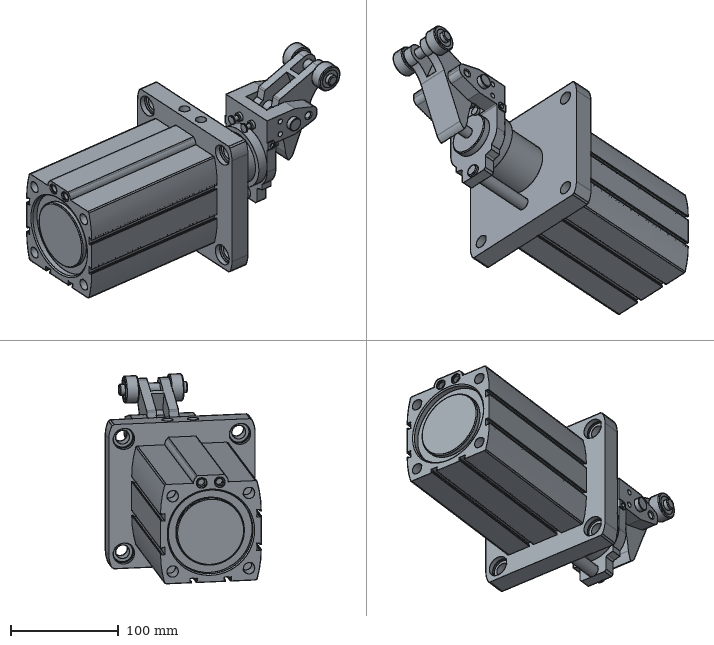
import cadquery as cq
import math

TOTAL_HEIGHT = 145.2
TOTAL_LENGTH = 315.7

PLATE_REAR = 151.0
PLATE_FRONT = 170.2
COLLAR_REAR = 215.3
BRACKET_REAR = 225.0
PAD_FRONT = 235.8
DISC_FRONT = 243.0
BLOCK_STRAIGHT_END = 259.0

BARREL_WIDTH = 95.0
BARREL_HALF = BARREL_WIDTH / 2
BARREL_CORNER = (43.5, 46.7)
BARREL_TOP_HALF = 42.0
RIB_HALF = 16.5
RIB_SHOULDER = (14.0, 53.5)
RIB_TOP_HALF = 13.0
RIB_TOP = 54.5
SLOT_OFFSET = 16.0
SLOT_MOUTH = 4.7
SLOT_WIDTH = 7.0
SLOT_LIP = 1.3
SLOT_DEPTH = 4.0
BARREL_FLAT_HALF = SLOT_OFFSET + SLOT_MOUTH / 2

RECESS_D = 80.0
RECESS_CHAMFER = 1.3
RECESS_DEPTH = 6.3
END_BOSS_D = 64.0
END_BOSS_FACE = 1.5
END_BOSS_CHAMFER = 1.0
TIE_HOLE_D = 10.7
TIE_HOLE_OFFSET = 36.0
TIE_HOLE_DEPTH = 15.8
REAR_PORT_X = 8.5
REAR_PORT_Z = 47.5
REAR_PORT_D = 9.8
REAR_PORT_DEPTH = 1.5
REAR_PORT_BORE_D = 7.0
REAR_PORT_BORE_DEPTH = 6.3

PLATE_WIDTH = 138.0
PLATE_HALF = PLATE_WIDTH / 2
PLATE_FLAT_HALF = 55.5
PLATE_CORNER = (66.0, 68.0)
PLATE_TOP_HALF = 64.0
BOLT_SPACING = 109.5
BOLT_OFFSET = BOLT_SPACING / 2
BOLT_D = 13.0
BOLT_MOUTH_D = 20.0
BOLT_MOUTH_DEPTH = 5.0
BOLT_HEAD_D = 19.0
BOLT_HEAD_DEPTH = 7.0
TOP_PORT_D = 10.0
TOP_PORT_X = 12.0
TOP_PORT_DEPTH = 9.5
DRILL_POINT_ANGLE = math.radians(59)

ROD_D = 50.2
COLLAR_D = 60.0
DISC_D = 41.0
DISC_CHAMFER = 1.0
PLUNGER_D = 10.5
PLUNGER_REACH = 262.0
GUIDE_D = 12.0
GUIDE_Z = -42.0
GUIDE_REAR = 158.0
GUIDE_FRONT = 238.7
GUIDE_CHAMFER = 1.0

BRACKET_HALF = 30.0
BLOCK_TOP = 50.2
BLOCK_BOTTOM = 22.0
BLOCK_FILLET = 1.0
PIVOT_Y = 255.5
PIVOT_Z = (BLOCK_TOP + BLOCK_BOTTOM) / 2
EYE_Y = 275.0
NOSE_FRONT = 285.0
NOSE_HEIGHT = 12.3
NOSE_FILLET = 6.3
EYE_HOLE_D = 6.5
EYE_COUNTERSINK_D = 8.5
FORK_WIDTH = 30.0
FORK_HALF = FORK_WIDTH / 2
FORK_FLOOR = 237.0
PIVOT_D = 13.0
PIVOT_HALF = 35.0
PIVOT_CHAMFER = 0.47
SET_SCREW_D = 5.0
SET_SCREW_Y = 241.2
SET_SCREW_SPREAD = 14.0
SET_SCREW_DEPTH = 4.7
PAD_ARC_START = -6.3
PAD_SHOULDER_HALF = 23.0
PAD_SHOULDER_TOP = -23.0
PAD_SHOULDER_BOTTOM = -29.0
PAD_STEP = (17.0, -30.5)
PAD_TAIL_HALF = 15.0
PAD_TAIL_TOP = -32.5
PAD_TAIL_SIDE_END = -46.0
PAD_TAIL_CHAMFER = 2.0
EAR_WIDTH = 62.2
EAR_HALF = EAR_WIDTH / 2
EAR_Z = 22.0
EAR_HEIGHT = 8.2
EAR_FRONT = 234.0
EAR_CHAMFER = 2.0
EAR_HOLE_D = 4.0
EAR_HOLE_DEPTH = 2.5
EAR_HOLE_Y = 230.0
PEG_D = 8.0
PEG_X = -10.5
PEG_Z = 20.0
PEG_FRONT = 245.3

ADJUSTER_SPACING = 18.0
ADJUSTER_X = ADJUSTER_SPACING / 2
ADJUSTER_HEAD_D = 8.5
ADJUSTER_HEAD_LENGTH = 3.8
ADJUSTER_HEAD_CHAMFER = 1.0
ADJUSTER_SHANK_D = 5.0
ADJUSTER_END = 214.5
ADJUSTER_CAP_LENGTH = 1.3
ADJUSTER_TIP_Y = 241.0

ROLLER_R = 12.5
AXLE_Y = TOTAL_LENGTH - ROLLER_R
AXLE_Z = TOTAL_HEIGHT - PLATE_HALF - ROLLER_R
LEVER_END_D = 20.0
LEVER_END_R = LEVER_END_D / 2
LEVER_SLOT_HALF = 6.0
LEVER_HEEL = (252.2, 55.0)
LEVER_HEEL_FILLET = 2.0
LEVER_HEEL_FOOT = (250.0, 44.8)
LEVER_HUB = (241.8, 34.0)
LEVER_NECK = (253.2, 22.0)
LEVER_SHIN = (256.7, 11.0)
LEVER_SOLE = (259.8, -6.3)
LEVER_TOE_REAR = (261.5, -11.7)
LEVER_TOE = (263.3, -15.8)
LEVER_TOE_FRONT = (267.5, -13.0)
LEVER_FRONT_BOTTOM = (269.3, -10.0)
LEVER_FRONT_TOP = (290.5, 39.5)
LEVER_THROAT = (297.5, 49.2)
REAR_POCKET_R = 23.0
WEB_FROM_PIVOT = 31.5
WEB_THICKNESS = 4.7

AXLE_D = 10.5
AXLE_HALF = 32.0
AXLE_CHAMFER = 1.0
ROLLER_WIDTH = 12.3
ROLLER_CHAMFER = 1.0
ROLLER_RECESS_D = 18.0
ROLLER_RECESS_DEPTH = 0.3


def xz_plane(y):
    """Workplane square to Y, with local x along X and local y along Z; it extrudes toward -Y."""
    return cq.Workplane("XZ", origin=(0, y, 0))


def rod_y(diameter, y_start, y_end, x=0, z=0):
    """Cylinder along Y."""
    return xz_plane(y_end).center(x, z).circle(diameter / 2).extrude(y_end - y_start)


def rod_x(diameter, x_start, x_end, y, z):
    """Cylinder along X."""
    section = cq.Workplane("YZ", origin=(x_start, 0, 0)).center(y, z)
    return section.circle(diameter / 2).extrude(x_end - x_start)


def box(x_range, y_range, z_range):
    """Box between two limits on each axis."""
    size = [high - low for low, high in (x_range, y_range, z_range)]
    corner = (x_range[0], y_range[0], z_range[0])
    return cq.Workplane("XY").box(*size, centered=False).translate(corner)


def drill(diameter, depth, start, direction):
    """Blind hole with a conical drill point, to be cut from a body."""
    radius = diameter / 2
    point = cq.Vector(*start)
    axis = cq.Vector(*direction)
    cone_height = radius / math.tan(DRILL_POINT_ANGLE)
    bore = cq.Solid.makeCylinder(radius, depth, point, axis)
    cone = cq.Solid.makeCone(radius, 0, cone_height, point + axis * depth, axis)
    return cq.Workplane("XY").newObject([bore.fuse(cone)])


def rounded_square(y_end, length, half, flat_half, corner, top_half):
    """Square bar along Y whose four corners curve in from the sides to a narrower top."""
    quarter = (
        xz_plane(y_end)
        .lineTo(half, 0)
        .lineTo(half, flat_half)
        .tangentArcPoint(corner, relative=False)
        .lineTo(top_half, half)
        .lineTo(0, half)
        .close()
        .extrude(length)
    )
    right_half = quarter.union(quarter.mirror("XY"))
    return right_half.union(right_half.mirror("YZ"))


def switch_slot():
    """T-slot along the barrel, to be cut into a downward face at Z = 0."""
    mouth = box((-SLOT_MOUTH / 2, SLOT_MOUTH / 2), (0, PLATE_REAR), (0, SLOT_DEPTH))
    chamber = box((-SLOT_WIDTH / 2, SLOT_WIDTH / 2), (0, PLATE_REAR), (SLOT_LIP, SLOT_DEPTH))
    return mouth.union(chamber)


def make_barrel():
    barrel = rounded_square(
        PLATE_REAR, PLATE_REAR, BARREL_HALF, BARREL_FLAT_HALF, BARREL_CORNER, BARREL_TOP_HALF
    )
    rib = (
        xz_plane(PLATE_REAR)
        .lineTo(RIB_HALF, 0)
        .lineTo(RIB_HALF, BARREL_HALF)
        .tangentArcPoint(RIB_SHOULDER, relative=False)
        .lineTo(RIB_TOP_HALF, RIB_TOP)
        .lineTo(0, RIB_TOP)
        .close()
        .extrude(PLATE_REAR)
    )
    barrel = barrel.union(rib).union(rib.mirror("YZ"))
    for angle in (-90, 0, 90):
        for offset in (-SLOT_OFFSET, SLOT_OFFSET):
            slot = switch_slot().translate((offset, 0, -BARREL_HALF))
            barrel = barrel.cut(slot.rotate((0, 0, 0), (0, 1, 0), angle))
    return barrel


def cut_rear_end(barrel):
    """Annular recess around the end boss, four tie holes and two ports."""
    recess = rod_y(RECESS_D, 0, RECESS_DEPTH)
    boss = rod_y(END_BOSS_D, END_BOSS_FACE, RECESS_DEPTH).faces("<Y").edges().chamfer(END_BOSS_CHAMFER)
    barrel = barrel.cut(recess)
    recess_rim = cq.selectors.NearestToPointSelector((0, 0, 0))
    barrel = barrel.edges(recess_rim).chamfer(RECESS_CHAMFER).union(boss)
    for x in (-TIE_HOLE_OFFSET, TIE_HOLE_OFFSET):
        for z in (-TIE_HOLE_OFFSET, TIE_HOLE_OFFSET):
            barrel = barrel.cut(rod_y(TIE_HOLE_D, 0, TIE_HOLE_DEPTH, x, z))
    for x in (-REAR_PORT_X, REAR_PORT_X):
        barrel = barrel.cut(rod_y(REAR_PORT_D, 0, REAR_PORT_DEPTH, x, REAR_PORT_Z))
        barrel = barrel.cut(rod_y(REAR_PORT_BORE_D, 0, REAR_PORT_BORE_DEPTH, x, REAR_PORT_Z))
    return barrel


def make_plate():
    plate = rounded_square(
        PLATE_FRONT, PLATE_FRONT - PLATE_REAR, PLATE_HALF, PLATE_FLAT_HALF, PLATE_CORNER, PLATE_TOP_HALF
    )
    for x in (-BOLT_OFFSET, BOLT_OFFSET):
        for z in (-BOLT_OFFSET, BOLT_OFFSET):
            plate = plate.cut(rod_y(BOLT_D, PLATE_REAR, PLATE_FRONT, x, z))
            plate = plate.cut(rod_y(BOLT_MOUTH_D, PLATE_REAR, PLATE_REAR + BOLT_MOUTH_DEPTH, x, z))
            plate = plate.cut(rod_y(BOLT_HEAD_D, PLATE_REAR, PLATE_REAR + BOLT_HEAD_DEPTH, x, z))
    middle = (PLATE_REAR + PLATE_FRONT) / 2
    for x in (-TOP_PORT_X, TOP_PORT_X):
        plate = plate.cut(drill(TOP_PORT_D, TOP_PORT_DEPTH, (x, middle, PLATE_HALF), (0, 0, -1)))
    plate = plate.cut(rod_y(ROD_D, PLATE_REAR, PLATE_FRONT))
    return plate.cut(rod_y(GUIDE_D, GUIDE_REAR, PLATE_FRONT, 0, GUIDE_Z))


def make_housing():
    return cut_rear_end(make_barrel()).union(make_plate())


def make_lever():
    heel_y, heel_z = LEVER_HEEL
    to_axle = math.atan2(AXLE_Z - heel_z, AXLE_Y - heel_y)
    reach = math.hypot(AXLE_Y - heel_y, AXLE_Z - heel_z)
    normal = to_axle + math.asin(LEVER_END_R / reach) + math.pi / 2
    tangent = (AXLE_Y + LEVER_END_R * math.cos(normal), AXLE_Z + LEVER_END_R * math.sin(normal))
    lever = (
        cq.Workplane("YZ", origin=(-FORK_HALF, 0, 0))
        .moveTo(*LEVER_HEEL)
        .lineTo(*tangent)
        .threePointArc((AXLE_Y + LEVER_END_R, AXLE_Z), (AXLE_Y, AXLE_Z - LEVER_END_R))
        .threePointArc(LEVER_THROAT, LEVER_FRONT_TOP)
        .lineTo(*LEVER_FRONT_BOTTOM)
        .threePointArc(LEVER_TOE_FRONT, LEVER_TOE)
        .threePointArc(LEVER_TOE_REAR, LEVER_SOLE)
        .threePointArc(LEVER_SHIN, LEVER_NECK)
        .threePointArc(LEVER_HUB, LEVER_HEEL_FOOT)
        .close()
        .extrude(FORK_WIDTH)
    )
    lever = lever.edges(cq.selectors.NearestToPointSelector((0, *LEVER_HEEL)))
    lever = lever.fillet(LEVER_HEEL_FILLET)
    slot = (-LEVER_SLOT_HALF, LEVER_SLOT_HALF)
    slope = normal - math.pi / 2
    web_front = WEB_FROM_PIVOT + WEB_THICKNESS
    rear_slot = box(slot, (-WEB_FROM_PIVOT, WEB_FROM_PIVOT), (0, WEB_FROM_PIVOT))
    front_slot = box(slot, (web_front, 2 * web_front), (-web_front, web_front))
    slots = rear_slot.union(front_slot).rotate((0, 0, 0), (1, 0, 0), math.degrees(slope))
    slots = slots.translate((0, PIVOT_Y, PIVOT_Z))
    rear_floor = rod_x(2 * REAR_POCKET_R, *slot, PIVOT_Y, PIVOT_Z)
    lever = lever.cut(slots).cut(rear_floor)
    lever = lever.cut(rod_x(AXLE_D, -FORK_HALF, FORK_HALF, AXLE_Y, AXLE_Z))
    return lever.cut(rod_x(PIVOT_D, -FORK_HALF, FORK_HALF, PIVOT_Y, PIVOT_Z))


def make_pad():
    """Upright pad of the bracket, clamped on the rod and reaching down to the guide rod."""
    half = (
        xz_plane(PAD_FRONT)
        .moveTo(0, BLOCK_TOP)
        .lineTo(BRACKET_HALF, BLOCK_TOP)
        .lineTo(BRACKET_HALF, PAD_ARC_START)
        .tangentArcPoint((PAD_SHOULDER_HALF, PAD_SHOULDER_TOP), relative=False)
        .lineTo(PAD_SHOULDER_HALF, PAD_SHOULDER_BOTTOM)
        .lineTo(*PAD_STEP)
        .tangentArcPoint((PAD_TAIL_HALF, PAD_TAIL_TOP), relative=False)
        .lineTo(PAD_TAIL_HALF, PAD_TAIL_SIDE_END)
        .lineTo(PAD_TAIL_HALF - PAD_TAIL_CHAMFER, PAD_TAIL_SIDE_END - PAD_TAIL_CHAMFER)
        .lineTo(0, PAD_TAIL_SIDE_END - PAD_TAIL_CHAMFER)
        .close()
        .extrude(PAD_FRONT - BRACKET_REAR)
    )
    return half.union(half.mirror("YZ"))


def make_fork():
    """Fork block that tapers forward to a rounded nose, slotted for the lever."""
    fork = (
        cq.Workplane("YZ", origin=(-BRACKET_HALF, 0, 0))
        .moveTo(BRACKET_REAR, BLOCK_BOTTOM)
        .lineTo(BLOCK_STRAIGHT_END, BLOCK_BOTTOM)
        .lineTo(NOSE_FRONT, PIVOT_Z - NOSE_HEIGHT / 2)
        .lineTo(NOSE_FRONT, PIVOT_Z + NOSE_HEIGHT / 2)
        .lineTo(BLOCK_STRAIGHT_END, BLOCK_TOP)
        .lineTo(BRACKET_REAR, BLOCK_TOP)
        .close()
        .extrude(2 * BRACKET_HALF)
    )
    fork = fork.edges("|X and >Y").fillet(NOSE_FILLET)
    fork = fork.cut(box((-FORK_HALF, FORK_HALF), (FORK_FLOOR, NOSE_FRONT), (BLOCK_BOTTOM, BLOCK_TOP)))
    fork = fork.cut(rod_x(EYE_HOLE_D, -BRACKET_HALF, BRACKET_HALF, EYE_Y, PIVOT_Z))
    countersink = (EYE_COUNTERSINK_D - EYE_HOLE_D) / 2
    for x in (-BRACKET_HALF, BRACKET_HALF):
        rim = cq.selectors.NearestToPointSelector((x, EYE_Y, PIVOT_Z))
        fork = fork.edges(rim).chamfer(countersink)
    return fork


def make_bracket():
    bracket = make_pad().union(make_fork())
    inner_corner = cq.selectors.NearestToPointSelector((0, PAD_FRONT, BLOCK_BOTTOM))
    bracket = bracket.edges(inner_corner).fillet(BLOCK_FILLET)
    ears = box(
        (-EAR_HALF, EAR_HALF),
        (BRACKET_REAR, EAR_FRONT),
        (EAR_Z - EAR_HEIGHT / 2, EAR_Z + EAR_HEIGHT / 2),
    )
    bracket = bracket.union(ears.edges("|X and >Y").chamfer(EAR_CHAMFER))
    for side in (-1, 1):
        inward = (-side, 0, 0)
        ear_face = (side * EAR_HALF, EAR_HOLE_Y, EAR_Z)
        bracket = bracket.cut(drill(EAR_HOLE_D, EAR_HOLE_DEPTH, ear_face, inward))
        for rise in (-SET_SCREW_SPREAD / 2, SET_SCREW_SPREAD / 2):
            cheek_face = (side * BRACKET_HALF, SET_SCREW_Y, PIVOT_Z + rise)
            bracket = bracket.cut(drill(SET_SCREW_D, SET_SCREW_DEPTH, cheek_face, inward))
    return bracket


def make_rods(lever):
    """Piston rod with collar, front disc, peg and plunger; the plunger bears on the lever."""
    rod = rod_y(ROD_D, PLATE_REAR, BRACKET_REAR)
    collar = rod_y(COLLAR_D, COLLAR_REAR, BRACKET_REAR)
    disc = rod_y(DISC_D, BRACKET_REAR, DISC_FRONT).faces(">Y").edges().chamfer(DISC_CHAMFER)
    peg = rod_y(PEG_D, DISC_FRONT - DISC_CHAMFER, PEG_FRONT, PEG_X, PEG_Z)
    plunger = rod_y(PLUNGER_D, DISC_FRONT, PLUNGER_REACH).cut(lever)
    return rod.union(collar).union(disc).union(peg).union(plunger)


def make_guide_rod():
    guide = rod_y(GUIDE_D, GUIDE_REAR, GUIDE_FRONT, 0, GUIDE_Z)
    return guide.faces(">Y").edges().chamfer(GUIDE_CHAMFER)


def make_pivot_pin():
    pin = rod_x(PIVOT_D, -PIVOT_HALF, PIVOT_HALF, PIVOT_Y, PIVOT_Z)
    return pin.faces("<X or >X").edges().chamfer(PIVOT_CHAMFER)


def make_adjuster(x):
    """Adjusting screw through the rear wall of the fork, with a round cap at its rear end."""
    head = rod_y(ADJUSTER_HEAD_D, BRACKET_REAR - ADJUSTER_HEAD_LENGTH, BRACKET_REAR, x, PIVOT_Z)
    head = head.faces("<Y").edges().chamfer(ADJUSTER_HEAD_CHAMFER)
    shank = rod_y(ADJUSTER_SHANK_D, ADJUSTER_END, ADJUSTER_TIP_Y, x, PIVOT_Z)
    cap = rod_y(ADJUSTER_HEAD_D, ADJUSTER_END, ADJUSTER_END + ADJUSTER_CAP_LENGTH, x, PIVOT_Z)
    return head.union(shank).union(cap)


def make_carrier(lever):
    """Everything that travels with the piston rod, up to the fixed pivot pin."""
    carrier = make_bracket().union(make_pivot_pin()).union(make_rods(lever)).union(make_guide_rod())
    for x in (-ADJUSTER_X, ADJUSTER_X):
        carrier = carrier.union(make_adjuster(x))
    return carrier


def make_axle():
    axle = rod_x(AXLE_D, -AXLE_HALF, AXLE_HALF, AXLE_Y, AXLE_Z)
    return axle.faces("<X or >X").edges().chamfer(AXLE_CHAMFER)


def make_roller(side):
    inner = FORK_HALF
    outer = FORK_HALF + ROLLER_WIDTH
    roller = rod_x(2 * ROLLER_R, inner, outer, AXLE_Y, AXLE_Z)
    roller = roller.faces("<X or >X").edges().chamfer(ROLLER_CHAMFER)
    roller = roller.cut(rod_x(ROLLER_RECESS_D, outer - ROLLER_RECESS_DEPTH, outer, AXLE_Y, AXLE_Z))
    roller = roller.cut(rod_x(AXLE_D, inner, outer, AXLE_Y, AXLE_Z))
    return roller if side > 0 else roller.mirror("YZ")


housing = make_housing()
lever = make_lever()
carrier = make_carrier(lever)
axle = make_axle()
rollers = [make_roller(side) for side in (-1, 1)]

bodies = [housing, carrier, lever, axle, *rollers]
result = cq.Compound.makeCompound([body.solids().val() for body in bodies])